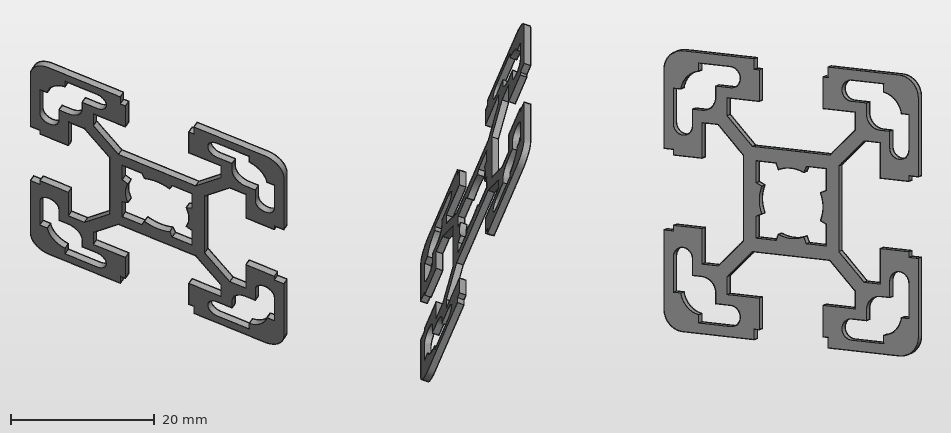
import cadquery as cq
import math


SIDE = 40.0
THICKNESS = 1.0
CORNER_RADIUS = 3.0
HALF = SIDE / 2

SLOT_HALF_WIDTH = 5.0
LIP_DEPTH = 6.0
MOUTH_HALF_WIDTH = 5.8
GROOVE_WIDTH = 20.1
GROOVE_HALF_WIDTH = GROOVE_WIDTH / 2

CORE_SIDE = 15.0
CORE_HALF_OUTER = CORE_SIDE / 2
CORE_WALL = 2.0
CORE_HALF_INNER = CORE_HALF_OUTER - CORE_WALL
STRUT_WIDTH = 2.0
STRUT_OFFSET = STRUT_WIDTH / math.sqrt(2)

BORE_RADIUS = 5.0
RIB_HALF_ANGLE = 23.5

ARM_WIDTH = 3.0
ARM_RADIUS = ARM_WIDTH / 2
LIP_WALL = (LIP_DEPTH - ARM_WIDTH) / 2
ARM_NEAR = LIP_WALL
ARM_FAR = ARM_NEAR + ARM_WIDTH
ARM_END = 12.0
HOLLOW_CENTRE = LIP_DEPTH
OUTER_STEP = 5.5
OUTER_ARC_RADIUS = 3.35
INNER_ARC_RADIUS = 2.15


def around(shape, turn):
    """Turn a shape about the Y axis through the centre by quarter turns."""
    return shape.rotate((0, 0, 0), (0, 1, 0), 90 * turn)


def extrude_outline(outline):
    """Close an outline and extrude it through the full thickness."""
    return outline.close().extrude(THICKNESS / 2, both=True)


def make_blank():
    blank = cq.Workplane("XZ").rect(SIDE, SIDE).extrude(THICKNESS / 2, both=True)
    return blank.edges("|Y").fillet(CORNER_RADIUS)


def make_slot():
    """T-slot opening upward, ending on the core and between two struts."""
    mouth_z = HALF - LIP_WALL
    lip_z = HALF - LIP_DEPTH
    right_side = [
        (CORE_HALF_OUTER - STRUT_OFFSET, CORE_HALF_OUTER),
        (GROOVE_HALF_WIDTH, GROOVE_HALF_WIDTH + STRUT_OFFSET),
        (GROOVE_HALF_WIDTH, lip_z),
        (SLOT_HALF_WIDTH, lip_z),
        (SLOT_HALF_WIDTH, mouth_z),
        (MOUTH_HALF_WIDTH, mouth_z),
        (MOUTH_HALF_WIDTH, HALF),
    ]
    left_side = [(-x, z) for x, z in reversed(right_side)]
    return extrude_outline(cq.Workplane("XZ").polyline(right_side + left_side))


def make_core_rib():
    """Rib on the upper inside wall of the core."""
    angle = math.radians(RIB_HALF_ANGLE)
    root_x = CORE_HALF_INNER * math.tan(angle)
    tip_x = BORE_RADIUS * math.sin(angle)
    tip_z = BORE_RADIUS * math.cos(angle)
    return extrude_outline(
        cq.Workplane("XZ")
        .moveTo(-root_x, CORE_HALF_INNER)
        .lineTo(-tip_x, tip_z)
        .threePointArc((0, BORE_RADIUS), (tip_x, tip_z))
        .lineTo(root_x, CORE_HALF_INNER)
    )


def make_core_opening():
    size = 2 * CORE_HALF_INNER
    opening = cq.Workplane("XZ").rect(size, size).extrude(THICKNESS / 2, both=True)
    for turn in range(4):
        opening = opening.cut(around(make_core_rib(), turn))
    return opening


def make_corner_hollow():
    """Hollow of the lower left corner, symmetric about the corner diagonal."""
    corner = -HALF
    centre = HOLLOW_CENTRE
    diagonal = math.sqrt(0.5)
    step_rise = math.sqrt(OUTER_ARC_RADIUS**2 - (centre - OUTER_STEP) ** 2)
    outer_arc_end = centre - step_rise
    outer_arc_mid = centre - OUTER_ARC_RADIUS * diagonal
    inner_wall = centre + INNER_ARC_RADIUS
    inner_arc_mid = centre + INNER_ARC_RADIUS * diagonal
    arm_middle = ARM_NEAR + ARM_RADIUS
    arm_straight_end = ARM_END - ARM_RADIUS
    return extrude_outline(
        cq.Workplane("XZ", origin=(corner, 0, corner))
        .moveTo(OUTER_STEP, outer_arc_end)
        .lineTo(OUTER_STEP, ARM_NEAR)
        .lineTo(arm_straight_end, ARM_NEAR)
        .threePointArc((ARM_END, arm_middle), (arm_straight_end, ARM_FAR))
        .lineTo(inner_wall, ARM_FAR)
        .lineTo(inner_wall, centre)
        .threePointArc((inner_arc_mid, inner_arc_mid), (centre, inner_wall))
        .lineTo(ARM_FAR, inner_wall)
        .lineTo(ARM_FAR, arm_straight_end)
        .threePointArc((arm_middle, ARM_END), (ARM_NEAR, arm_straight_end))
        .lineTo(ARM_NEAR, OUTER_STEP)
        .lineTo(outer_arc_end, OUTER_STEP)
        .threePointArc((outer_arc_mid, outer_arc_mid), (OUTER_STEP, outer_arc_end))
    )


result = make_blank().cut(make_core_opening())
for quarter in range(4):
    result = result.cut(around(make_slot(), quarter))
    result = result.cut(around(make_corner_hollow(), quarter))